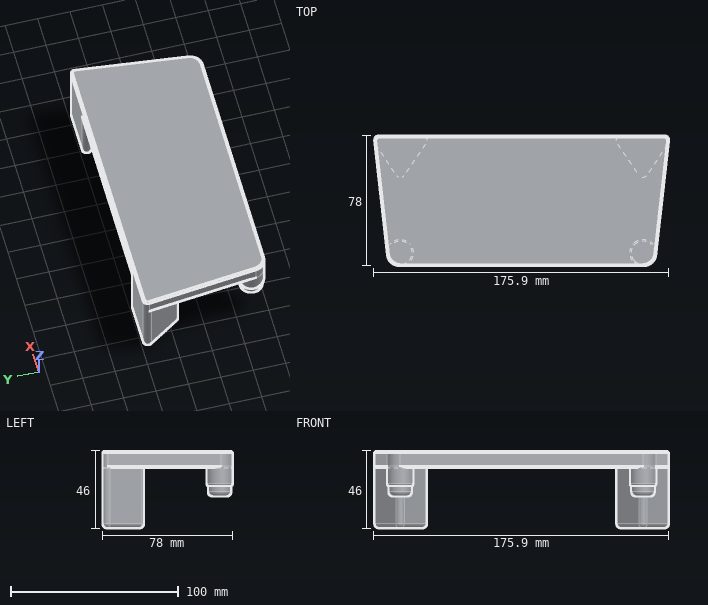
import cadquery as cq
import math

length = 175.9
depth = 78.0
height = 46.0

plate_thickness = 10.0
plate_chamfer = 1.0
back_corner_radius = 3.0

post_radius = 8.0
post_x = 72.5
post_drop = 21.3
shoulder_fillet = 2.1

pad_radius = 7.0
pad_drop = 27.0
pad_fillet = 3.0

leg_width = 31.5
leg_depth = 25.0
leg_bottom_fillet = back_corner_radius

back_y = depth / 2
front_y = -depth / 2
plate_bottom = height - plate_thickness
corner_x = length / 2 - back_corner_radius
corner_y = back_y - back_corner_radius
post_y = front_y + post_radius


def rounded_outline(corners, base_z):
    """Closed outline around corner circles (x, y, radius), listed counterclockwise."""
    count = len(corners)
    side_normals = []
    for i in range(count):
        x1, y1, r1 = corners[i]
        x2, y2, r2 = corners[(i + 1) % count]
        heading = math.atan2(y2 - y1, x2 - x1)
        taper = math.asin((r1 - r2) / math.hypot(x2 - x1, y2 - y1))
        side_normals.append(heading - math.pi / 2 + taper)

    def on_circle(corner, angle):
        x, y, radius = corner
        return (x + radius * math.cos(angle), y + radius * math.sin(angle))

    outline = cq.Workplane("XY", origin=(0, 0, base_z))
    outline = outline.moveTo(*on_circle(corners[0], side_normals[0]))
    for i in range(count):
        next_corner = corners[(i + 1) % count]
        arc_start = side_normals[i]
        turn = (side_normals[(i + 1) % count] - arc_start) % (2 * math.pi)
        outline = outline.lineTo(*on_circle(next_corner, arc_start))
        outline = outline.threePointArc(
            on_circle(next_corner, arc_start + turn / 2),
            on_circle(next_corner, arc_start + turn),
        )
    return outline.close()


def make_plate():
    corners = [
        (-post_x, post_y, post_radius),
        (post_x, post_y, post_radius),
        (corner_x, corner_y, back_corner_radius),
        (-corner_x, corner_y, back_corner_radius),
    ]
    plate = rounded_outline(corners, plate_bottom).extrude(plate_thickness)
    return plate.faces("<Z or >Z").chamfer(plate_chamfer)


def make_left_leg():
    """Triangular leg with its point toward the front, flush with the plate's back corner."""
    inner_x = -length / 2 + leg_width - back_corner_radius
    point_y = back_y - leg_depth + back_corner_radius
    corners = [
        (-post_x, point_y, back_corner_radius),
        (inner_x, corner_y, back_corner_radius),
        (-corner_x, corner_y, back_corner_radius),
    ]
    leg = rounded_outline(corners, 0).extrude(height - plate_chamfer)
    return leg.faces("<Z").edges().fillet(leg_bottom_fillet)


def make_left_post():
    top = height - plate_chamfer
    shoulder_z = height - post_drop
    pad_z = height - pad_drop
    post = cq.Workplane("XY", origin=(-post_x, post_y, shoulder_z)).circle(post_radius)
    post = post.extrude(top - shoulder_z).faces("<Z").edges().fillet(shoulder_fillet)
    pad = cq.Workplane("XY", origin=(-post_x, post_y, pad_z)).circle(pad_radius)
    pad = pad.extrude(plate_bottom - pad_z).faces("<Z").edges().fillet(pad_fillet)
    return post.union(pad)


result = make_plate()
for support in (make_left_leg(), make_left_post()):
    result = result.union(support).union(support.mirror("YZ"))